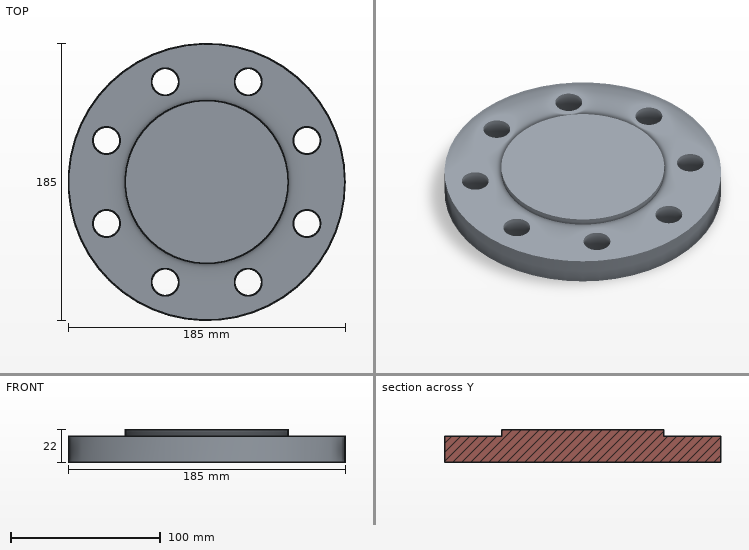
import cadquery as cq

flange_diameter = 185.0
total_height = 22.0
face_diameter = 109.0
face_height = 4.5
plate_thickness = total_height - face_height

hole_count = 8
hole_diameter = 18.0
bolt_circle_diameter = 145.0
hole_pitch_angle = 360 / hole_count
first_hole_angle = hole_pitch_angle / 2

plate = cq.Workplane("XY").circle(flange_diameter / 2).extrude(plate_thickness)

raised_face = cq.Workplane("XY").circle(face_diameter / 2).extrude(total_height)

bolt_holes = (
    cq.Workplane("XY")
    .polarArray(bolt_circle_diameter / 2, first_hole_angle, 360, hole_count)
    .circle(hole_diameter / 2)
    .extrude(plate_thickness)
)

result = plate.union(raised_face).cut(bolt_holes)